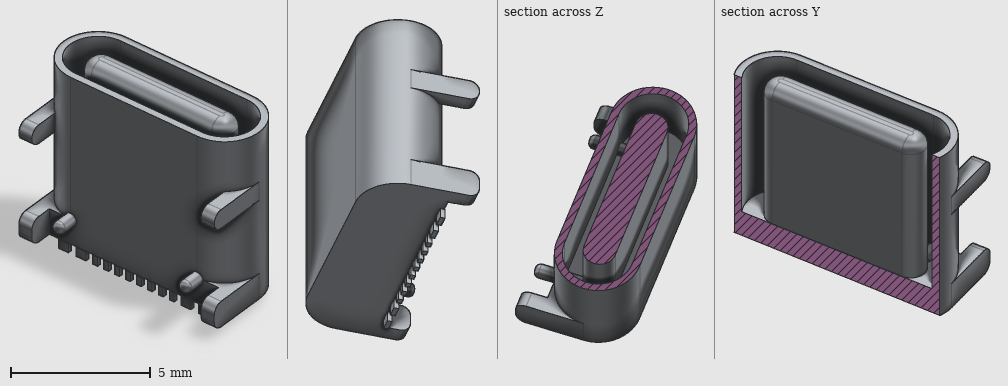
import cadquery as cq

shell_width = 8.94
shell_depth = 3.16
shell_height = 7.35
wall = 0.3
front_y = -shell_depth / 2
straight_length = shell_width - shell_depth

base_height = 1.12

tongue_width = 6.7
tongue_thickness = 1.2
tongue_top = shell_height
tongue_round = 0.5

leg_width = 0.6
leg_reach = 2.58
leg_round = 0.4
upper_leg_bottom = 4.34
upper_leg_height = 0.82

peg_diameter = 0.52
peg_height = 1.1
peg_back_y = -0.59
peg_tip_y = -2.4
peg_round = 0.2

pin_length = 0.4
pin_thickness = 0.18
pin_protrusion = 0.03
narrow_pin = 0.22
wide_pin = 0.45
pins = [
    (0.25, narrow_pin),
    (0.75, narrow_pin),
    (1.25, narrow_pin),
    (1.75, narrow_pin),
    (2.4, wide_pin),
    (3.2, wide_pin),
]

sides = (-1, 1)


def slot_column(width, depth, bottom, top):
    """Upright solid with a slot-shaped section."""
    return cq.Workplane("XY").workplane(offset=bottom).slot2D(width, depth).extrude(top - bottom)


def make_shell_outside():
    return slot_column(shell_width, shell_depth, 0, shell_height)


def make_cavity():
    return slot_column(shell_width - 2 * wall, shell_depth - 2 * wall, base_height, shell_height)


def make_base_block():
    block = cq.Workplane("XY").box(shell_width, shell_depth / 2, base_height, centered=(True, False, False))
    return block.translate((0, front_y, 0))


def make_tongue():
    tongue = slot_column(tongue_width, tongue_thickness, base_height, tongue_top)
    return tongue.faces(">Z").edges().fillet(tongue_round)


def make_leg(side, bottom, height):
    """Flat leg flush with the side of the shell, rounded at its front end."""
    leg = cq.Workplane("XY").box(leg_width, leg_reach, height, centered=(True, False, False))
    leg = leg.faces("<Y").edges("|X").fillet(leg_round)
    return leg.translate((side * (shell_width - leg_width) / 2, -leg_reach, bottom))


def make_peg(side):
    """Round peg pointing forward, with a rounded tip."""
    peg = cq.Workplane("XZ").circle(peg_diameter / 2).extrude(peg_back_y - peg_tip_y)
    peg = peg.faces("<Y").edges().fillet(peg_round)
    return peg.translate((side * straight_length / 2, peg_back_y, peg_height))


def make_pin(x, width):
    pin = cq.Workplane("XY").box(width, pin_thickness, pin_length, centered=(True, False, False))
    return pin.translate((x, front_y - pin_protrusion, -pin_length))


result = make_shell_outside().union(make_base_block())
for side in sides:
    result = result.union(make_leg(side, 0, base_height))
    result = result.union(make_leg(side, upper_leg_bottom, upper_leg_height))
result = result.cut(make_cavity())

result = result.union(make_tongue())
for side in sides:
    result = result.union(make_peg(side))
    for offset, width in pins:
        result = result.union(make_pin(side * offset, width))